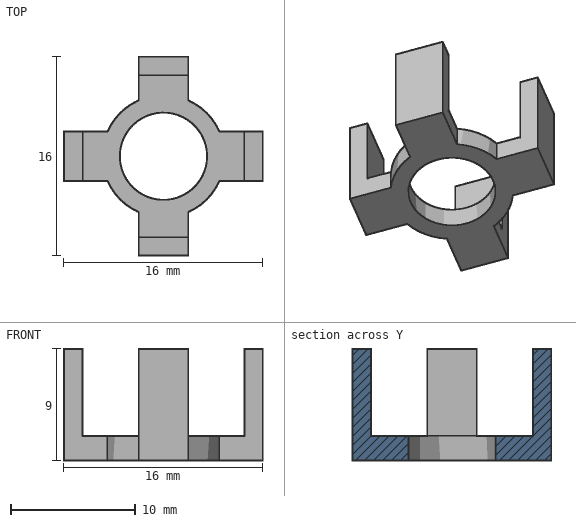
import cadquery as cq
import math

span = 16.0
total_height = 9.0
base_thickness = 2.0
arm_width = 4.0
post_thickness = 1.5
bore_diameter = 7.0
arm_root = 4.5
arm_count = 4

ring_radius = math.hypot(arm_root, arm_width / 2)
bore_radius = bore_diameter / 2
arm_tip = span / 2
arm_start = (bore_radius + ring_radius) / 2
post_height = total_height - base_thickness
arm_angles = [index * 360 / arm_count for index in range(arm_count)]


def radial_block(inner, outer, bottom, height, angle):
    """Arm-wide block from radius inner to outer, turned about Z by angle."""
    return (
        cq.Workplane("XY")
        .box(outer - inner, arm_width, height, centered=(False, True, False))
        .translate((inner, 0, bottom))
        .rotate((0, 0, 0), (0, 0, 1), angle)
    )


def make_base():
    """Flat ring with radial arms and a through bore."""
    base = cq.Workplane("XY").circle(ring_radius).extrude(base_thickness)
    for angle in arm_angles:
        base = base.union(radial_block(arm_start, arm_tip, 0, base_thickness, angle))
    bore = cq.Workplane("XY").circle(bore_radius).extrude(base_thickness)
    return base.cut(bore).clean()


def make_post(angle):
    """Upright post standing on the tip of one arm."""
    return radial_block(arm_tip - post_thickness, arm_tip, base_thickness, post_height, angle)


result = make_base()
for post_angle in arm_angles:
    result = result.union(make_post(post_angle), clean=False)